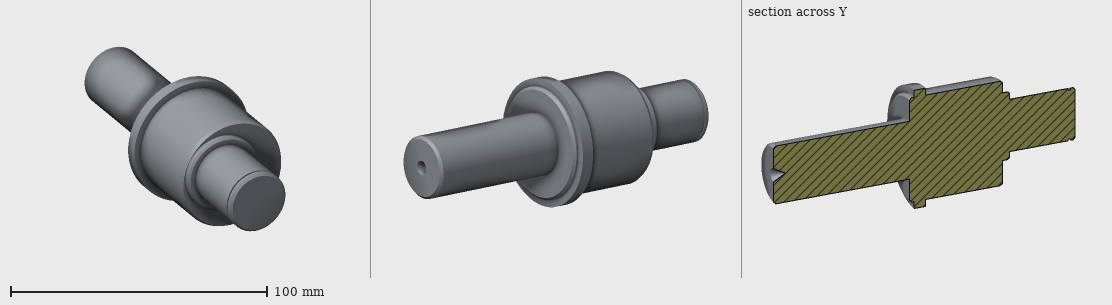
import cadquery as cq
import math

body_start = 58.0
flange_start = 60.0
flange_end = 65.0
body_end = 98.0
collar_end = 100.9
pin_end = 129.0

shaft_diameter = 25.0
body_diameter = 45.0
flange_diameter = 51.0
collar_diameter = 31.1

pin_diameter = shaft_diameter
pin_offset_y = -5.3
pin_offset_z = 2.7

groove_start = 125.9
groove_width = 0.9
groove_depth = 0.6

chamfer = 1.0
collar_chamfer = 0.8
body_lead_length = 1.4
body_lead_depth = 0.8

centre_diameter = 5.7
centre_angle = 60.0
centre_depth = centre_diameter / 2 / math.tan(math.radians(centre_angle / 2))


def cylinder(diameter, start, end, y=0, z=0):
    """Cylinder along X between two stations, centred on (y, z)."""
    plane = cq.Workplane("YZ", origin=(start, y, z))
    return plane.circle(diameter / 2).extrude(end - start)


def pin_cylinder(diameter, start, end):
    """Cylinder on the eccentric pin axis."""
    return cylinder(diameter, start, end, pin_offset_y, pin_offset_z)


shaft = cylinder(shaft_diameter, 0, body_end).faces("<X").chamfer(chamfer)
body = cylinder(body_diameter, body_start, body_end).faces("<X").chamfer(chamfer)
body = body.faces(">X").chamfer(body_lead_length, body_lead_depth)
flange = cylinder(flange_diameter, flange_start, flange_end)

collar = pin_cylinder(collar_diameter, flange_end, collar_end).faces(">X").chamfer(collar_chamfer)
pin = pin_cylinder(pin_diameter, flange_end, pin_end).faces(">X").chamfer(chamfer)

groove_end = groove_start + groove_width
groove = pin_cylinder(pin_diameter + groove_depth, groove_start, groove_end)
groove = groove.cut(pin_cylinder(pin_diameter - 2 * groove_depth, groove_start, groove_end))

centre_hole = cq.Workplane(
    cq.Solid.makeCone(centre_diameter / 2, 0, centre_depth, cq.Vector(0, 0, 0), cq.Vector(1, 0, 0))
)

result = shaft.union(body).union(flange).union(collar).union(pin)
result = result.cut(groove).cut(centre_hole)